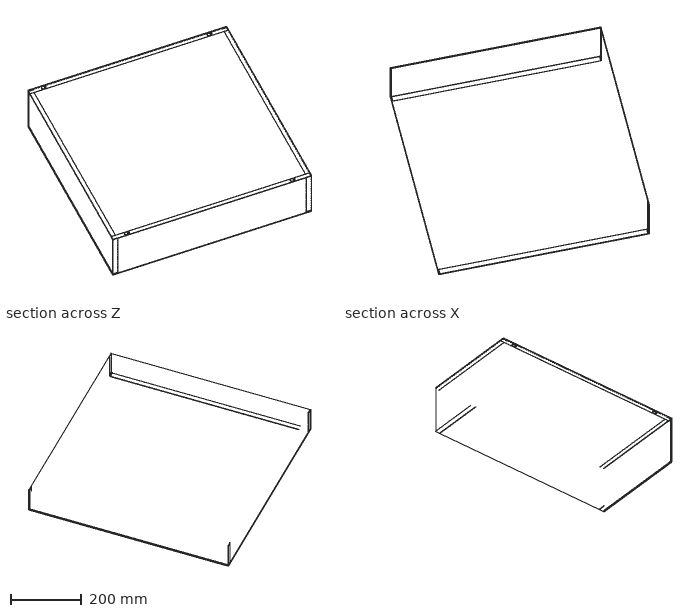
import cadquery as cq

WIDTH = 609.5
DEPTH = 609.5
HEIGHT = 153.5

SHEET = 1.5
BEND_RADIUS = 2.75
FLANGE = 16.0
RIM_FLANGE = 13.5

KEYHOLE_X = 297.5
KEYHOLE_Y = 254.0
KEYHOLE_DROP = 7.0
HEAD_DIAMETER = 10.5
NECK_WIDTH = 5.0
SCREW_HOLE_DIAMETER = 3.5

BOTTOM = -HEIGHT / 2
BOX_HEIGHT = HEIGHT - SHEET
BOX_TOP = BOTTOM + BOX_HEIGHT
PANEL_WIDTH = WIDTH - 2 * SHEET
PANEL_BOTTOM = BOTTOM + SHEET
RIM_BOTTOM = BOX_TOP - SHEET
PANEL_HEIGHT = RIM_BOTTOM - PANEL_BOTTOM
INNER_RADIUS = BEND_RADIUS - SHEET

KEYHOLES = [(x, y) for x in (-KEYHOLE_X, KEYHOLE_X) for y in (-KEYHOLE_Y, KEYHOLE_Y)]


def block(x_size, y_size, z_size, x_center, y_center, z_bottom):
    """Rectangular block centred in X and Y and standing on z_bottom."""
    base = cq.Workplane("XY", origin=(x_center, y_center, z_bottom))
    return base.box(x_size, y_size, z_size, centered=(True, True, False))


def make_cover():
    """Flat sheet with four keyholes, each a round head with a round-ended neck toward +Y."""
    cover = block(WIDTH, DEPTH, SHEET, 0, 0, BOX_TOP)
    plane = cq.Workplane("XY", origin=(0, 0, BOX_TOP))
    for x, y in KEYHOLES:
        head = plane.center(x, y - KEYHOLE_DROP).circle(HEAD_DIAMETER / 2).extrude(SHEET)
        neck_end = plane.center(x, y).circle(NECK_WIDTH / 2).extrude(SHEET)
        neck = block(NECK_WIDTH, KEYHOLE_DROP, SHEET, x, y - KEYHOLE_DROP / 2, BOX_TOP)
        cover = cover.cut(head).cut(neck).cut(neck_end)
    return cover


def make_wrapper():
    """Bottom and two side walls folded from one sheet, with a rim turned inward on each wall."""
    outside = block(WIDTH, DEPTH, BOX_HEIGHT, 0, 0, BOTTOM)
    inside = block(PANEL_WIDTH, DEPTH, BOX_HEIGHT - SHEET, 0, 0, PANEL_BOTTOM)
    outside = outside.edges("|Y and <Z").fillet(BEND_RADIUS)
    inside = inside.edges("|Y and <Z").fillet(INNER_RADIUS)
    wrapper = outside.cut(inside)

    for side in (-1, 1):
        rim_x = side * (WIDTH - RIM_FLANGE) / 2
        wrapper = wrapper.union(block(RIM_FLANGE, DEPTH, SHEET, rim_x, 0, RIM_BOTTOM))

    screw_holes = (
        cq.Workplane("XY", origin=(0, 0, RIM_BOTTOM))
        .pushPoints(KEYHOLES)
        .circle(SCREW_HOLE_DIAMETER / 2)
        .extrude(SHEET)
    )
    return wrapper.cut(screw_holes)


def make_end_panel():
    """End wall at -Y with a bottom flange, two side flanges and a top rim, all turned inward."""
    flange_y = -(DEPTH - FLANGE) / 2
    inner_y = flange_y + SHEET

    sides_bottom = PANEL_BOTTOM + BEND_RADIUS
    sides_height = RIM_BOTTOM - sides_bottom
    outer = block(PANEL_WIDTH, FLANGE, sides_height, 0, flange_y, sides_bottom)
    inner = block(PANEL_WIDTH - 2 * SHEET, FLANGE, sides_height, 0, inner_y, sides_bottom)
    outer = outer.edges("|Z and <Y").fillet(BEND_RADIUS)
    inner = inner.edges("|Z and <Y").fillet(INNER_RADIUS)
    sides = outer.cut(inner)

    flat_width = PANEL_WIDTH - 2 * BEND_RADIUS
    outer = block(flat_width, FLANGE, PANEL_HEIGHT, 0, flange_y, PANEL_BOTTOM)
    inner = block(flat_width, FLANGE, PANEL_HEIGHT, 0, inner_y, PANEL_BOTTOM + SHEET)
    outer = outer.edges("|X and <Y and <Z").fillet(BEND_RADIUS)
    inner = inner.edges("|X and <Y and <Z").fillet(INNER_RADIUS)
    base = outer.cut(inner)

    rim_length = WIDTH - 2 * RIM_FLANGE
    rim = block(rim_length, RIM_FLANGE, SHEET, 0, -(DEPTH - RIM_FLANGE) / 2, RIM_BOTTOM)
    return sides.union(base).union(rim)


cover = make_cover()
wrapper = make_wrapper()
end_panels = [make_end_panel().rotate((0, 0, 0), (0, 0, 1), turn) for turn in (0, 180)]

result = cq.Compound.makeCompound(
    [cover.val(), wrapper.val(), *[panel.val() for panel in end_panels]]
)